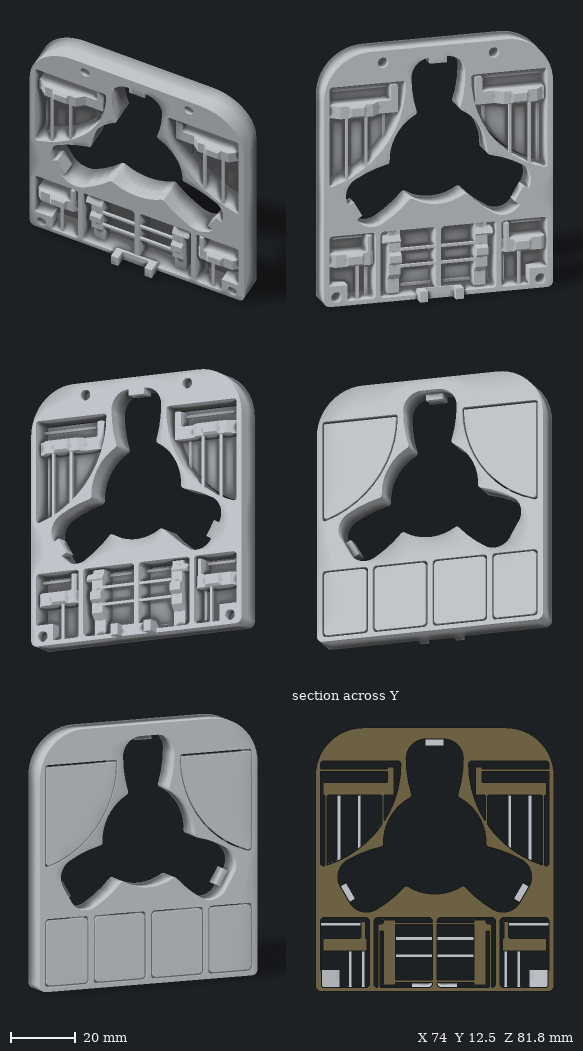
import cadquery as cq
import math

plate_width = 74.0
plate_height = 81.8
plate_depth = 8.7
top_corner_radius = 15.0
bottom_corner_radius = 2.0
half_width = plate_width / 2
match_tolerance = 0.04

hole_diameter = 3.35
hole_depth = 3.7
top_hole_x, top_hole_z = 17.9, 77.9
bottom_hole_x, bottom_hole_z = 33.0, 2.95

opening_z = 46.1
core_radius = 15.8
lobe_reach = 32.0
lobe_half_width = 8.75
lobe_corner_radius = 6.0
lobe_flank_radius = 36.8
lobe_root = 11.45
cusp_radius = 1.0
lobe_angles = (0, 120, 240)
key_width = 5.5
key_reach = 30.0
key_depth = 4.6

outer_wall_x = 35.25
pocket_corner_radius = 1.15
upper_pocket_top = 71.3
upper_arc_x, upper_arc_z = 43.2, 70.4
upper_arc_radius = 32.6
upper_foot_radius = 0.8
lower_pocket_top = 22.9
lower_pocket_bottom = 1.4
side_pocket_inner_x = 20.3
middle_pocket_outer_x = 18.7
middle_pocket_inner_x = 0.8

corner_block_x = 29.4
corner_block_top = 6.6
corner_block_inner_depth = 4.1
corner_block_outer_depth = 5.9

insert_gap = 0.6
back_wall = 2.0
back_wall_y = plate_depth - back_wall
tie_size = 0.8
front_tie_y = 0.3
back_tie_y = 5.4
tie_flare = 0.25
bump_height = 0.8
bump_bevel = 0.7

upper_insert_top = 70.5
upper_shelf_bottom, upper_shelf_top = 60.8, 64.8
upper_shelf_step = 2.0
upper_column_inner_x, upper_column_outer_x = 12.5, 14.7
upper_column_top = 69.7
upper_column_fillet = 0.5
upper_step_inner_x, upper_step_outer_x = 18.7, 34.0
upper_front_inner_x, upper_front_outer_x = 21.1, 31.7
upper_bump_x = (23.4, 29.1)
upper_front_tie_xs = (23.2, 29.5)
upper_back_tie_xs = (16.0, 33.6)
upper_level_tie_z = 68.55

side_shelf_bottom, side_shelf_top = 12.6, 16.6
side_shelf_bevel = 1.5
side_column_inner_x, side_column_outer_x = 21.35, 22.8
side_column_bevel = 0.6
side_column_top = 21.8
side_column_fillet = 0.7
side_bump_x = (24.1, 29.9)
side_front_tie_x, side_inner_tie_x = 26.1, 22.1
side_inner_tie_y = 4.3
side_level_tie_z = 20.85

clip_inner_x, clip_outer_x = 12.1, 15.9
lip_outer_x = 17.7
lip_corner_radius = 0.65
lip_top, lip_edge, lip_bottom = 21.1, 19.3, 18.7
lip_back_y = 1.3
clip_face_y = 0.4
clip_foot_y = 2.3
nose_top, nose_bottom = 15.8, 11.7
nose_face_top, nose_face_bottom = 14.9, 12.7
undercut_top, undercut_bottom = 8.5, 6.55
middle_front_tie_zs = (16.45, 11.05)
middle_back_tie_zs = (21.1, 3.3)
middle_upright_tie_x = 17.3

hook_half_width = 7.0
hook_leg = 2.45
hook_height = 3.5
hook_reach = 3.8
hook_web = 0.6
hook_fillet = 0.65


def front_plane(y):
    """Sketch plane parallel to the front face; extrusions run from y towards -Y."""
    return cq.Workplane("XZ", origin=(0, y, 0))


def block(x, y, z):
    """Box given by its (low, high) limits along each axis."""
    size = (x[1] - x[0], y[1] - y[0], z[1] - z[0])
    return cq.Workplane("XY").box(*size, centered=False).translate((x[0], y[0], z[0]))


def plan_prism(points, z):
    """Solid with an (x, y) plan, standing between two heights."""
    return cq.Workplane("XY", origin=(0, 0, z[0])).polyline(points).close().extrude(z[1] - z[0])


def profile_prism(points, x):
    """Solid with a (y, z) profile, running between two x positions."""
    return cq.Workplane("YZ", origin=(x[0], 0, 0)).polyline(points).close().extrude(x[1] - x[0])


def shelf(front, z):
    """Shelf that runs from a front outline of (x, y) points to the back wall."""
    return plan_prism([(front[0][0], back_wall_y), *front, (front[-1][0], back_wall_y)], z)


def fillet_along_y(body, x, z, radius):
    """Round the edge that runs along Y through (x, z)."""
    low = (x - match_tolerance, -plate_depth, z - match_tolerance)
    high = (x + match_tolerance, plate_depth, z + match_tolerance)
    return body.edges(cq.selectors.BoxSelector(low, high)).edges("|Y").fillet(radius)


def flare(x, y, z, rise):
    """Widening of an upright tie at its end z; rise points from the end into the tie."""
    return (
        cq.Workplane("XY", origin=(x, y + tie_size / 2, z))
        .rect(tie_size + 2 * tie_flare, tie_size + 2 * tie_flare)
        .workplane(offset=rise)
        .rect(tie_size, tie_size)
        .loft(ruled=True)
    )


def upright_tie(x, y, z):
    """Square tie along Z, centred on x, with its front at y and a flared foot."""
    tie = block((x - tie_size / 2, x + tie_size / 2), (y, y + tie_size), z)
    return tie.union(flare(x, y, z[0], tie_flare))


def level_tie(x, y, z):
    """Square tie along X, centred on z, with its front at y."""
    return block(x, (y, y + tie_size), (z - tie_size / 2, z + tie_size / 2))


def bump(x, z):
    """Bevelled pad standing on the front of a shelf; x and z are its base limits."""
    width, height = x[1] - x[0], z[1] - z[0]
    return (
        cq.Workplane("XZ", origin=((x[0] + x[1]) / 2, 0, (z[0] + z[1]) / 2))
        .rect(width, height)
        .workplane(offset=bump_height)
        .rect(width - 2 * bump_bevel, height - 2 * bump_bevel)
        .loft(ruled=True)
    )


def rectangle_pocket(x, margin):
    """Lower pocket between two x limits, shrunk all round by margin."""
    width = x[1] - x[0] - 2 * margin
    height = lower_pocket_top - lower_pocket_bottom - 2 * margin
    return (
        front_plane(plate_depth)
        .center((x[0] + x[1]) / 2, (lower_pocket_top + lower_pocket_bottom) / 2)
        .rect(width, height)
        .extrude(plate_depth)
        .edges("|Y")
        .fillet(pocket_corner_radius)
    )


def side_pocket(margin):
    return rectangle_pocket((side_pocket_inner_x, outer_wall_x), margin)


def middle_pocket(margin):
    return rectangle_pocket((middle_pocket_inner_x, middle_pocket_outer_x), margin)


def upper_arc_height(x):
    """Height of the large arc that closes the upper pocket from below."""
    return upper_arc_z - math.sqrt(upper_arc_radius**2 - (x - upper_arc_x) ** 2)


def upper_pocket(margin):
    """Pocket with a straight top and outer side, closed by one large arc."""
    corner = upper_pocket_top - upper_arc_z
    inner_x = upper_arc_x - upper_arc_radius
    outline = (
        front_plane(plate_depth)
        .moveTo(outer_wall_x - corner, upper_pocket_top)
        .lineTo(inner_x + corner, upper_pocket_top)
        .radiusArc((inner_x, upper_arc_z), -corner)
        .radiusArc((outer_wall_x, upper_arc_height(outer_wall_x)), -upper_arc_radius)
        .lineTo(outer_wall_x, upper_arc_z)
        .radiusArc((outer_wall_x - corner, upper_pocket_top), -corner)
        .close()
    )
    if margin:
        outline = outline.offset2D(-margin)
    return outline.extrude(plate_depth).edges("|Y and <Z").fillet(upper_foot_radius)


class CuspSelector(cq.Selector):
    """Edges along Y where a lobe flank meets the core circle."""

    def filter(self, objects):
        return [edge for edge in objects if self.is_cusp(edge)]

    def is_cusp(self, edge):
        centre = edge.Center()
        on_core = abs(math.hypot(centre.x, centre.z) - core_radius) < match_tolerance
        return on_core and edge.geomType() == "LINE"


def lobe():
    """One lobe of the opening, pointing along +Z from the origin."""
    corner_x = lobe_half_width - lobe_corner_radius
    corner_z = lobe_reach - lobe_corner_radius
    diagonal = lobe_corner_radius * math.sqrt(0.5)
    flank_rise = corner_z - lobe_root
    flank_inset = lobe_flank_radius - math.sqrt(lobe_flank_radius**2 - flank_rise**2)
    root_x = lobe_half_width - flank_inset
    return (
        front_plane(plate_depth)
        .moveTo(-corner_x, lobe_reach)
        .lineTo(corner_x, lobe_reach)
        .threePointArc((corner_x + diagonal, corner_z + diagonal), (lobe_half_width, corner_z))
        .radiusArc((root_x, lobe_root), lobe_flank_radius)
        .lineTo(-root_x, lobe_root)
        .radiusArc((-lobe_half_width, corner_z), lobe_flank_radius)
        .threePointArc((-corner_x - diagonal, corner_z + diagonal), (-corner_x, lobe_reach))
        .close()
        .extrude(plate_depth)
    )


def three_lobed_opening():
    """Cutter for the opening; a key stays in the front of each lobe end."""
    cutter = front_plane(plate_depth).circle(core_radius).extrude(plate_depth)
    key = block((-key_width / 2, key_width / 2), (0, key_depth), (key_reach, lobe_reach))
    for angle in lobe_angles:
        cutter = cutter.union(lobe().rotate((0, 0, 0), (0, 1, 0), angle))
    cutter = cutter.edges(CuspSelector()).fillet(cusp_radius)
    for angle in lobe_angles:
        cutter = cutter.cut(key.rotate((0, 0, 0), (0, 1, 0), angle))
    return cutter.translate((0, 0, opening_z))


def corner_block():
    plan = [
        (corner_block_x, 0),
        (outer_wall_x, 0),
        (outer_wall_x, corner_block_outer_depth),
        (corner_block_x, corner_block_inner_depth),
    ]
    return plan_prism(plan, (0, corner_block_top))


def hook():
    """Two forward legs joined by a web, with a sloped gusset behind them."""
    outer, inner = hook_half_width, hook_half_width - hook_leg
    body = block((-outer, outer), (-hook_reach, 0), (0, hook_height))
    mouth = block((-inner, inner), (-hook_reach, -hook_web), (0, hook_height))
    gusset_rise = hook_height - lower_pocket_bottom
    gusset = profile_prism(
        [(0, hook_height), (gusset_rise, lower_pocket_bottom), (0, lower_pocket_bottom)],
        (-outer, outer),
    )
    return body.cut(mouth.edges("|Z and >Y").fillet(hook_fillet)).union(gusset)


def frame():
    plate = block((-half_width, half_width), (0, plate_depth), (0, plate_height))
    plate = plate.edges("|Y and >Z").fillet(top_corner_radius)
    plate = plate.edges("|Y and <Z").fillet(bottom_corner_radius)
    plate = plate.cut(three_lobed_opening())
    side_opening = side_pocket(0).cut(corner_block())
    for pocket in (upper_pocket(0), side_opening, middle_pocket(0)):
        plate = plate.cut(pocket).cut(pocket.mirror("YZ"))
    centres = [
        (side * x, z)
        for side in (-1, 1)
        for x, z in ((top_hole_x, top_hole_z), (bottom_hole_x, bottom_hole_z))
    ]
    holes = front_plane(hole_depth).pushPoints(centres).circle(hole_diameter / 2).extrude(hole_depth)
    return plate.cut(holes).union(hook())


def back_wall_of(outline):
    """Flat wall that fills an insert outline at the back of the plate."""
    rear = block((0, half_width), (back_wall_y, plate_depth), (0, plate_height))
    return outline.intersect(rear)


def upper_insert():
    height = (upper_shelf_bottom, upper_shelf_top)
    outline = upper_pocket(insert_gap)
    outline = outline.intersect(block((0, half_width), (0, plate_depth), (0, upper_insert_top)))
    front = [
        (upper_column_inner_x, upper_shelf_step),
        (upper_step_inner_x, upper_shelf_step),
        (upper_front_inner_x, 0),
        (upper_front_outer_x, 0),
        (upper_step_outer_x, upper_shelf_step),
        (outer_wall_x, upper_shelf_step),
    ]
    column = block(
        (upper_column_inner_x, upper_column_outer_x),
        (upper_shelf_step, back_wall_y),
        (upper_shelf_bottom, upper_column_top),
    )
    column = column.edges("|Y and >Z").fillet(upper_column_fillet)
    body = shelf(front, height).union(column)
    body = fillet_along_y(body, upper_column_outer_x, upper_shelf_top, upper_column_fillet)
    insert = back_wall_of(outline).union(body.intersect(outline)).union(bump(upper_bump_x, height))
    ties = [(x, front_tie_y) for x in upper_front_tie_xs] + [(x, back_tie_y) for x in upper_back_tie_xs]
    for x, y in ties:
        foot = upper_arc_height(x + tie_size / 2) - tie_flare / 2
        insert = insert.union(upright_tie(x, y, (foot, upper_shelf_bottom)))
        insert = insert.union(flare(x, y, upper_shelf_bottom, -tie_flare))
    return insert.union(level_tie((upper_column_outer_x, outer_wall_x), back_tie_y, upper_level_tie_z))


def side_insert():
    height = (side_shelf_bottom, side_shelf_top)
    bevel_x = side_column_inner_x + side_column_bevel
    front = [
        (bevel_x - side_shelf_bevel, side_shelf_bevel),
        (bevel_x, 0),
        (outer_wall_x - insert_gap - side_shelf_bevel, 0),
        (outer_wall_x - insert_gap, side_shelf_bevel),
    ]
    column_front = [(side_column_inner_x, side_column_bevel), (bevel_x, 0), (side_column_outer_x, 0)]
    body = shelf(front, height).union(shelf(column_front, (side_shelf_bottom, side_column_top)))
    body = fillet_along_y(body, side_column_outer_x, side_shelf_top, side_column_fillet)
    outline = side_pocket(insert_gap)
    insert = back_wall_of(outline).union(body.intersect(outline)).union(bump(side_bump_x, height))
    for x, y in ((side_inner_tie_x, side_inner_tie_y), (side_front_tie_x, front_tie_y)):
        insert = insert.union(upright_tie(x, y, (lower_pocket_bottom, side_shelf_bottom)))
    return insert.union(level_tie((side_column_outer_x, outer_wall_x), side_inner_tie_y, side_level_tie_z))


def middle_insert():
    outline = middle_pocket(insert_gap)
    top = lower_pocket_top - insert_gap
    bottom = lower_pocket_bottom + insert_gap
    slope = [(lip_back_y, lip_top), (0, lip_edge), (clip_face_y, lip_bottom)]
    nose = [
        (clip_face_y, nose_top),
        (-bump_height, nose_face_top),
        (-bump_height, nose_face_bottom),
        (clip_face_y, nose_bottom),
    ]
    foot = [(clip_face_y, undercut_top), (clip_foot_y, undercut_bottom), (clip_foot_y, bottom)]
    clip_profile = [(lip_back_y, top), *slope, *nose, *foot, (back_wall_y, bottom), (back_wall_y, top)]
    lip_profile = [*slope, (back_wall_y, lip_bottom), (back_wall_y, lip_top)]
    clip = profile_prism(clip_profile, (clip_inner_x, clip_outer_x))
    lip = profile_prism(lip_profile, (clip_inner_x, lip_outer_x))
    lip = fillet_along_y(lip, lip_outer_x, lip_top, lip_corner_radius)
    body = fillet_along_y(clip.union(lip), clip_outer_x, lip_top, lip_corner_radius)
    insert = back_wall_of(outline).union(body)
    ties = [(front_tie_y, z) for z in middle_front_tie_zs] + [(back_tie_y, z) for z in middle_back_tie_zs]
    for y, z in ties:
        insert = insert.union(level_tie((middle_pocket_inner_x, clip_inner_x), y, z))
    return insert.union(upright_tie(middle_upright_tie_x, back_tie_y, (lower_pocket_bottom, lip_bottom)))


result = frame()
for insert in (upper_insert(), side_insert(), middle_insert()):
    result = result.union(insert).union(insert.mirror("YZ"))